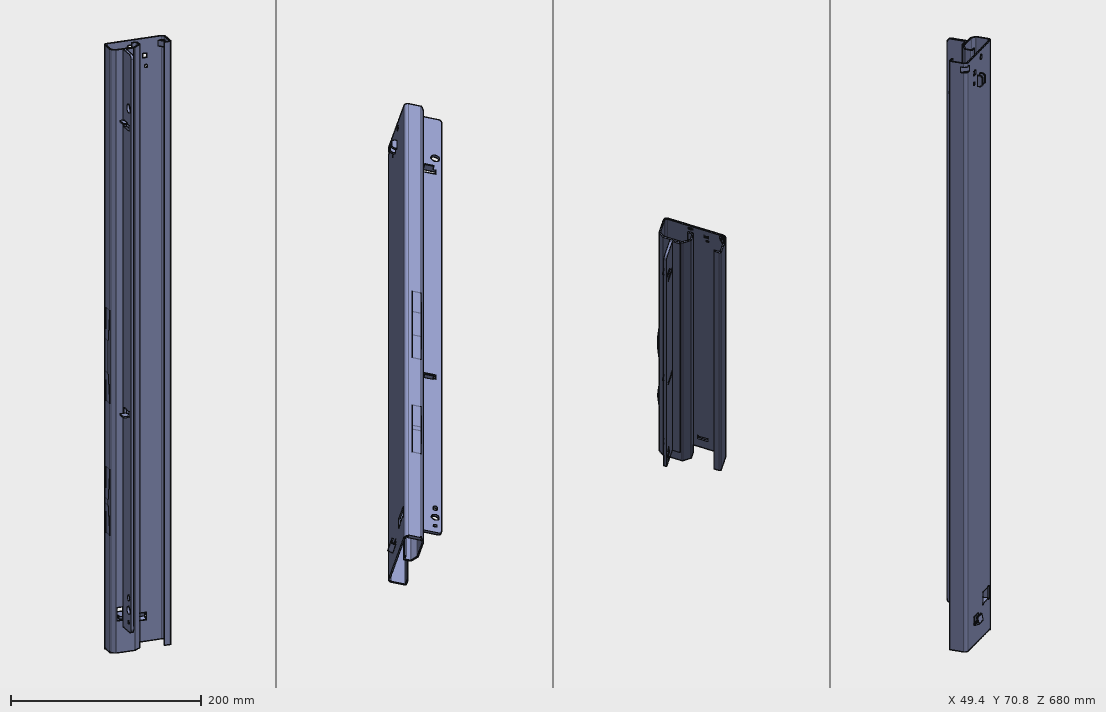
import cadquery as cq
import math

length = 680.0
foot_gap = 1.0
sheet = 1.5
rail_height = 69.1
web_bend = 2.5
small_bend = 0.5
top_flange_width = 20.3
top_lip_depth = 7.8
floor_width = 18.2
channel_width = 22.0
lower_bevel_height = 5.5
upper_bevel_start = 27.0
channel_height = 35.1
channel_roof_start = 16.2
channel_lip_x = 7.6
channel_lip_depth = 6.5

end_lip_depth = 3.8
stub_size = web_bend + sheet

pad_height = 1.7
pad_left = 8.0
pad_right = 17.6
pad_ramp = 34.0
pads = [(281.5, 104.5), (133.0, 74.0)]

latch_low_y = 6.5
latch_high_y = 24.5
latch_bottom = 37.0
latch_height = 15.0
stop_tab_low_y = 8.5
stop_tab_high_y = 22.7
stop_tab_reach = 16.0
stop_tab_step_x = 9.8
stop_tab_step_y = 12.5
stop_tab_bevel = 3.0
channel_window_high_y = 13.5

hook_reach = 5.5
lower_hook_low_y = 37.0
lower_hook_width = 11.5
lower_hook_bottom = 23.5
lower_hook_knee = 26.0
lower_hook_top = 33.5
lower_hook_lean = 1.5
ear_bottom = 642.0
ear_height = 12.5
ear_corner = 2.0
ear_sheet = 2.0
ear_low_faces = [31.3, 37.8]

web_round_holes = [(29.3, 671.8, 5.5), (48.0, 648.5, 3.5)]
square_hole = 5.0
square_hole_y = 46.7
square_hole_z = 660.5

gusset_bottom = 669.0
gusset_height = 6.5
gusset_leg = 7.0

bracket_leg = 1.5
bracket_leg_top = 25.0
bracket_reach = 43.93
bracket_bottom = 29.5
flange_back = 16.5
flange_thickness = 3.0
flange_front = flange_back - flange_thickness
flange_corner_radius = 4.0
flange_hole_x = 36.8
flange_holes = [(618.2, 9.5), (53.5, 8.5), (40.0, 4.0)]
flange_slot_z = 67.5
flange_slot_length = 6.5
flange_slot_width = 4.5

lance_left = 24.2
lance_width = 13.3
lance_height = 6.3
lance_tab_sheet = 1.5
lance_tab_width = 10.0
lance_tab_drop = 4.5
lances = [(593.3, True), (271.0, False)]


def box(x_range, y_range, z_range):
    """Block between two limits on each axis."""
    size = [high - low for low, high in (x_range, y_range, z_range)]
    corner = (x_range[0], y_range[0], z_range[0])
    return cq.Workplane("XY").box(*size, centered=False).translate(corner)


def prism(outline, bottom, height):
    """Upright prism on an XY outline."""
    return cq.Workplane("XY", origin=(0, 0, bottom)).polyline(outline).close().extrude(height)


def heading(start, end):
    """Direction of travel from one point to the next."""
    return math.atan2(end[1] - start[1], end[0] - start[0])


def offset_left(point, angle, distance):
    """Point moved square to the left of a direction of travel."""
    return point[0] - distance * math.sin(angle), point[1] + distance * math.cos(angle)


def inset_corner(before, corner, after):
    """Inner sheet corner that belongs to an outer corner of a left-turning path."""
    angle_in = heading(before, corner)
    half_turn = ((heading(corner, after) - angle_in) % (2 * math.pi)) / 2
    return offset_left(corner, angle_in + half_turn, sheet / math.cos(half_turn))


def bent_sheet(path, bend_radii, bottom, top):
    """Bent sheet whose outer face follows a path of left turns."""
    bends = range(1, len(path) - 1)
    inner = [offset_left(path[0], heading(path[0], path[1]), sheet)]
    inner += [inset_corner(path[i - 1], path[i], path[i + 1]) for i in bends]
    inner.append(offset_left(path[-1], heading(path[-2], path[-1]), sheet))
    body = prism(path + inner[::-1], bottom, top - bottom)
    middle = (bottom + top) / 2
    for i, radius in zip(bends, bend_radii):
        for corner, corner_radius in ((inner[i], radius), (path[i], radius + sheet)):
            nearest = cq.selectors.NearestToPointSelector((*corner, middle))
            body = body.edges("|Z").edges(nearest).fillet(corner_radius)
    return body


def rail_section(bottom, top):
    """Length of plain rail."""
    path = [
        (top_flange_width, rail_height - top_lip_depth),
        (top_flange_width, rail_height),
        (0, rail_height),
        (0, 0),
        (floor_width, 0),
        (channel_width, lower_bevel_height),
        (channel_width, upper_bevel_start),
        (channel_roof_start, channel_height),
        (channel_lip_x, channel_height),
        (channel_lip_x, channel_height - channel_lip_depth),
    ]
    bend_radii = [small_bend, web_bend, web_bend] + [small_bend] * 5
    return bent_sheet(path, bend_radii, bottom, top)


def rail_foot():
    """Lip across the lower end of the floor, and the stub below the floor corner."""
    lip = box((stub_size, floor_width), (0, end_lip_depth), (foot_gap, foot_gap + sheet))
    corner = box((0, stub_size), (0, stub_size), (0, 2 * foot_gap))
    return lip, rail_section(0, 2 * foot_gap).intersect(corner)


def floor_pad(low, full_length):
    """Pad with a long ramp at each end, on the outside of the floor."""
    high = low + full_length
    profile = [
        (sheet, low),
        (0, low),
        (-pad_height, low + pad_ramp),
        (-pad_height, high - pad_ramp),
        (0, high),
        (sheet, high),
    ]
    plane = cq.Workplane("YZ", origin=(pad_left, 0, 0))
    return plane.polyline(profile).close().extrude(pad_right - pad_left)


def stop_tab():
    """Stepped horizontal tab bent into the rail at the foot of the latch window."""
    outline = [
        (0, stop_tab_low_y),
        (stop_tab_step_x, stop_tab_low_y),
        (stop_tab_step_x, stop_tab_step_y),
        (stop_tab_reach - stop_tab_bevel, stop_tab_step_y),
        (stop_tab_reach, stop_tab_step_y + stop_tab_bevel),
        (stop_tab_reach, stop_tab_high_y - stop_tab_bevel),
        (stop_tab_reach - stop_tab_bevel, stop_tab_high_y),
        (0, stop_tab_high_y),
    ]
    return prism(outline, latch_bottom - sheet, 2 * sheet)


def lower_hook():
    """Sloping shelf with a lip that leans back toward the web."""
    lip_x = lower_hook_lean - hook_reach
    profile = [
        (sheet, lower_hook_bottom),
        (0, lower_hook_bottom),
        (-hook_reach, lower_hook_knee),
        (lip_x, lower_hook_top),
        (lip_x + sheet, lower_hook_top),
        (sheet - hook_reach, lower_hook_knee + sheet),
        (0, lower_hook_bottom + sheet),
        (sheet, lower_hook_bottom + sheet),
    ]
    plane = cq.Workplane("XZ", origin=(0, lower_hook_low_y, 0))
    return plane.polyline(profile).close().extrude(-lower_hook_width)


def ear(low_y):
    """Upright ear with bevelled corners, standing out from the web."""
    y_range = (low_y, low_y + ear_sheet)
    plate = box((-hook_reach, sheet), y_range, (ear_bottom, ear_bottom + ear_height))
    return plate.edges("<X and |Y").chamfer(ear_corner)


def web_openings():
    """Cutters for the windows and holes of the web and the channel wall."""
    web = (0, sheet)
    latch_z = (latch_bottom, latch_bottom + latch_height)
    channel_wall = (channel_width - sheet, channel_width)
    hook_y = (lower_hook_low_y, lower_hook_low_y + lower_hook_width)
    half = square_hole / 2
    square_y = (square_hole_y - half, square_hole_y + half)
    square_z = (square_hole_z - half, square_hole_z + half)
    cutters = [
        box(web, (latch_low_y, latch_high_y), latch_z),
        box(channel_wall, (latch_low_y, channel_window_high_y), latch_z),
        box(web, hook_y, (lower_hook_bottom, lower_hook_top)),
        box(web, square_y, square_z),
    ]
    for y, z, diameter in web_round_holes:
        cutters.append(cq.Workplane("YZ").center(y, z).circle(diameter / 2).extrude(sheet))
    return cutters


def press_gusset(body):
    """Replace a short stretch of the upper corner with a diagonal strip of sheet."""
    inner_leg = gusset_leg + sheet * math.sqrt(2)
    corner = [(0, rail_height), (0, rail_height - gusset_leg), (gusset_leg, rail_height)]
    strip = [
        (0, rail_height - gusset_leg),
        (0, rail_height - inner_leg),
        (inner_leg, rail_height),
        (gusset_leg, rail_height),
    ]
    body = body.cut(prism(corner, gusset_bottom, gusset_height))
    return body.union(prism(strip, gusset_bottom, gusset_height))


def build_rail():
    """Rail with its openings, tabs, hooks and pads."""
    body = press_gusset(rail_section(foot_gap, length))
    for cutter in web_openings():
        body = body.cut(cutter)
    features = [*rail_foot(), stop_tab(), lower_hook()]
    features += [ear(low_y) for low_y in ear_low_faces]
    features += [floor_pad(low, full_length) for low, full_length in pads]
    for feature in features:
        body = body.union(feature)
    return body


def build_bracket():
    """Angle bracket with fixing holes and lanced windows."""
    z_range = (bracket_bottom, length)
    leg = box((channel_width, channel_width + bracket_leg), (flange_front, bracket_leg_top), z_range)
    body = box((channel_width, bracket_reach), (flange_front, flange_back), z_range)
    body = body.edges(">X and |Y").fillet(flange_corner_radius).union(leg)

    back = cq.Workplane("XZ", origin=(0, flange_back, 0))
    for z, diameter in flange_holes:
        body = body.cut(back.center(flange_hole_x, z).circle(diameter / 2).extrude(flange_thickness))
    slot = back.center(flange_hole_x, flange_slot_z).slot2D(flange_slot_length, flange_slot_width, 90)
    body = body.cut(slot.extrude(flange_thickness))

    window_x = (lance_left, lance_left + lance_width)
    tab_x = (lance_left, lance_left + lance_tab_width)
    for low, tab_on_top in lances:
        high = low + lance_height
        tab_low = high if tab_on_top else low - lance_tab_sheet
        tab_z = (tab_low, tab_low + lance_tab_sheet)
        body = body.cut(box(window_x, (flange_front, flange_back), (low, high)))
        body = body.union(box(tab_x, (flange_front - lance_tab_drop, flange_back), tab_z))
    return body


rail = build_rail()
bracket = build_bracket()
result = cq.Compound.makeCompound([rail.solids().val(), bracket.solids().val()])